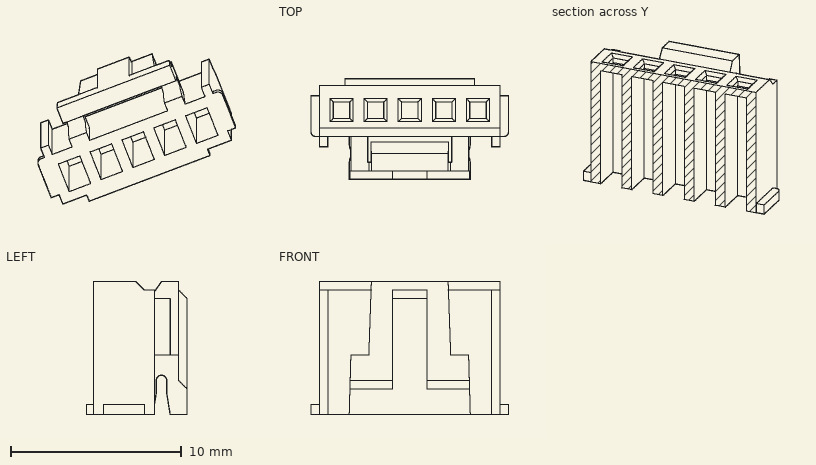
import cadquery as cq


height = 7.8
body_width = 10.6
body_depth = 3.0
body_chamfer = 0.5
shoulder_z = height - body_chamfer

rail_width = 0.5
rail_depth = 0.6

flange_height = 0.6
overall_width = 11.6
lug_back_inset = 0.6
lug_corner_radius = 0.3
lip_width = 7.6
lip_depth = 0.4

contact_count = 5
contact_pitch = 2.0
contact_inset = 1.45
contact_size = 0.95
contact_lead_in = 0.2
cavity_top = 7.3
cavity_width = 1.35
cavity_depth = 1.77

arm_inner = 4.5
arm_recessed = 5.0
arm_outer = 5.5
arm_half_top = 2.25
arm_half_bottom = 2.4
base_half_top = 3.45
base_half_bottom = 3.55
base_height = 3.5

hook_tip = 3.3
hook_top_edge = 4.0
hook_height = 1.0
hook_z = height - hook_height

leg_gap_half = 2.45

slot_center = 4.0
slot_width = 0.6
slot_top = 2.3
slot_flare_z = 1.25
slot_mouth_width = 1.0

stem_half = 1.0
crossbar_height = 2.0
raised_bevel = arm_outer - arm_recessed


def extrude_side(outline, width):
    """Extrude a closed (distance from back face, z) outline symmetrically about X = 0."""
    points = [(-distance, z) for distance, z in outline]
    return cq.Workplane("YZ").polyline(points).close().extrude(width / 2, both=True)


def block(x_min, x_max, near, far, z_min, z_max):
    """Box between two distances from the back face."""
    return (
        cq.Workplane("XY")
        .box(x_max - x_min, far - near, z_max - z_min, centered=False)
        .translate((x_min, -far, z_min))
    )


def make_body():
    profile = [
        (0, 0),
        (body_depth, 0),
        (body_depth, shoulder_z),
        (body_depth - body_chamfer, height),
        (0, height),
    ]
    return extrude_side(profile, body_width)


def make_rails():
    half = body_width / 2
    rail_front = body_depth + rail_depth
    left = block(-half, rail_width - half, body_depth, rail_front, 0, shoulder_z)
    return left.union(left.mirror("YZ"))


def make_flanges():
    side_lugs = block(
        -overall_width / 2, overall_width / 2, lug_back_inset, body_depth, 0, flange_height
    )
    side_lugs = side_lugs.edges("|Z and <Y").fillet(lug_corner_radius)
    back_lip = block(-lip_width / 2, lip_width / 2, -lip_depth, 0, 0, flange_height)
    return side_lugs.union(back_lip)


def make_latch_blank():
    """Side profile of the latch without the leg gap or the relief slot."""
    arm = [
        (arm_inner, 0),
        (arm_outer, 0),
        (arm_outer, height),
        (hook_top_edge, height),
        (hook_tip, hook_z),
        (arm_inner, hook_z),
    ]
    full_width = 2 * base_half_bottom
    legs = block(-base_half_bottom, base_half_bottom, body_depth, arm_inner, 0, base_height)
    leg_gap = block(-leg_gap_half, leg_gap_half, body_depth, arm_inner, 0, base_height)
    return extrude_side(arm, full_width).union(legs.cut(leg_gap))


def make_latch_front():
    """Stepped, tapered front outline of the latch, extruded through its depth."""
    right_side = [
        (base_half_bottom, 0),
        (base_half_top, base_height),
        (arm_half_bottom, base_height),
        (arm_half_top, height),
    ]
    left_side = [(-x, z) for x, z in reversed(right_side)]
    return cq.Workplane("XZ").polyline(right_side + left_side).close().extrude(arm_outer)


def make_relief_slot():
    """Round-topped slot with a flared mouth, running through both legs along X."""
    half = slot_width / 2
    mouth_half = slot_mouth_width / 2
    spring_z = slot_top - half
    return (
        cq.Workplane("YZ")
        .moveTo(-slot_center - mouth_half, 0)
        .lineTo(-slot_center - half, slot_flare_z)
        .lineTo(-slot_center - half, spring_z)
        .threePointArc((-slot_center, slot_top), (-slot_center + half, spring_z))
        .lineTo(-slot_center + half, slot_flare_z)
        .lineTo(-slot_center + mouth_half, 0)
        .close()
        .extrude(base_half_bottom, both=True)
    )


def make_front_recess():
    """Material removed from the arm's outer layer to leave the bevelled inverted T."""

    def layer_above(bevel_start_z):
        return [
            (arm_recessed, bevel_start_z),
            (arm_outer, bevel_start_z - raised_bevel),
            (arm_outer, height),
            (arm_recessed, height),
        ]

    above_crossbar = extrude_side(layer_above(crossbar_height), 2 * base_half_bottom)
    stem = block(-stem_half, stem_half, arm_recessed, arm_outer, 0, height)
    above_stem = extrude_side(layer_above(shoulder_z), 2 * stem_half)
    return above_crossbar.cut(stem).union(above_stem)


def make_latch():
    latch = make_latch_blank().intersect(make_latch_front())
    return latch.cut(make_relief_slot()).cut(make_front_recess())


def make_contact_holes():
    """Through holes with a flared mouth, opening into wider cavities below."""
    mouth_size = contact_size + 2 * contact_lead_in
    first_x = -contact_pitch * (contact_count - 1) / 2
    hole = cq.Workplane("XY").rect(contact_size, contact_size).extrude(height)
    lead_in = (
        cq.Workplane("XY", origin=(0, 0, height - contact_lead_in))
        .rect(contact_size, contact_size)
        .workplane(offset=contact_lead_in)
        .rect(mouth_size, mouth_size)
        .loft()
    )
    cavity = cq.Workplane("XY").rect(cavity_width, cavity_depth).extrude(cavity_top)
    hole = hole.union(lead_in).union(cavity)

    holes = cq.Workplane("XY")
    for index in range(contact_count):
        x = first_x + index * contact_pitch
        holes = holes.add(hole.translate((x, -contact_inset, 0)))
    return holes.combine()


housing = make_body().union(make_rails()).union(make_flanges()).union(make_latch())
result = housing.cut(make_contact_holes())